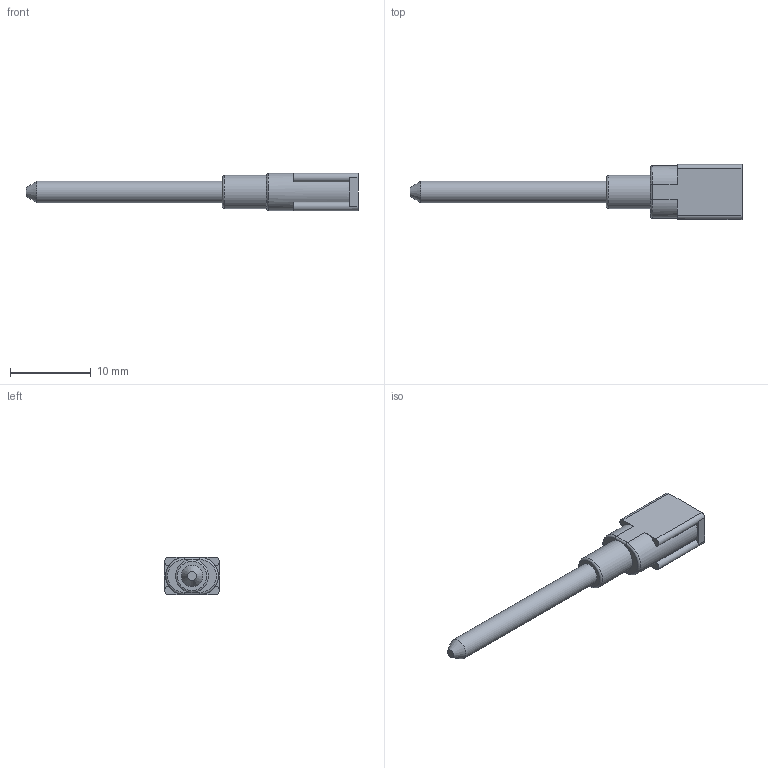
import cadquery as cq

total_length = 41.0
tip_length = 1.35
collar_start = 24.25
core_start = 29.7
rail_length = 8.0
end_wall_thickness = 1.1
rail_start = total_length - rail_length
end_wall_start = total_length - end_wall_thickness

pin_diameter = 2.65
tip_diameter = 1.1
collar_diameter = 4.1
block_width = 6.8
block_height = 4.6
core_width = 6.5
rail_thickness = 1.05
rail_round = rail_thickness / 2
edge_radius = 0.25


def section_at(x):
    """Sketch plane across the axis: local x is +Y, local y is +Z."""
    return cq.Workplane("YZ", origin=(x, 0, 0))


def make_pin():
    """Round pin with a conical tip and a rounded collar, ending at the core."""
    tip_radius = tip_diameter / 2
    pin_radius = pin_diameter / 2
    collar_radius = collar_diameter / 2
    half_profile = (
        cq.Workplane("XY")
        .moveTo(0, 0)
        .lineTo(0, -tip_radius)
        .lineTo(tip_length, -pin_radius)
        .lineTo(collar_start, -pin_radius)
        .lineTo(collar_start, -(collar_radius - edge_radius))
        .radiusArc((collar_start + edge_radius, -collar_radius), -edge_radius)
        .lineTo(core_start, -collar_radius)
        .lineTo(core_start, 0)
        .close()
    )
    return half_profile.revolve(360, (0, 0, 0), (1, 0, 0))


def make_core():
    """Oval core, flat on top and bottom, with a rounded front edge."""
    return (
        section_at(core_start)
        .slot2D(core_width, block_height)
        .extrude(total_length - core_start)
        .faces("<X")
        .fillet(edge_radius)
    )


def make_rail_plate(side):
    """Plate with full-round long edges, flush with the top (+1) or bottom (-1) of the core."""
    center_z = side * (block_height - rail_thickness) / 2
    return (
        section_at(rail_start)
        .center(0, center_z)
        .slot2D(block_width, rail_thickness)
        .extrude(rail_length)
    )


def make_end_wall():
    """Wall closing the rear end, with corners rounded like the rails."""
    return (
        section_at(end_wall_start)
        .rect(block_width, block_height)
        .extrude(end_wall_thickness)
        .edges("|X")
        .fillet(rail_round)
    )


result = make_pin().union(make_core())
for side in (1, -1):
    result = result.union(make_rail_plate(side))
result = result.union(make_end_wall()).clean()